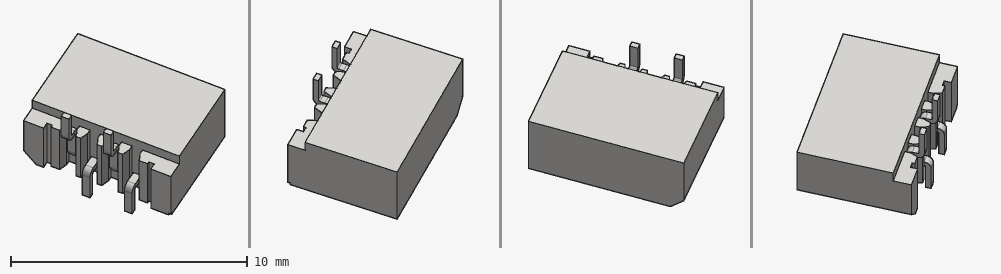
import cadquery as cq

HOUSING_WIDTH = 7.0
HOUSING_DEPTH = 4.25
HOUSING_HEIGHT = 3.0
CORNER_CHAMFER = 0.6
CORNER_NOTCH = 0.1

COMB_HEIGHT = 2.5
END_BLOCK_REACH = 0.8
RIB_REACH = 0.6
GROOVE_WIDTH = 0.25
GROOVE_OFFSET = 0.95
GROOVE_FLOOR_REACH = 0.48

PIN_PITCH = 1.0
PIN_COUNT = 4
SLOT_WIDTH = 0.5
SLOT_MOUTH_WIDTH = 0.78
SLOT_FLARE_START = 0.23

PIN_WIDTH = 0.37
PIN_THICKNESS = 0.25
PIN_TIP_REACH = 0.85
PIN_OVERHANG = 0.75
PIN_EXIT_BOTTOM = 0.6
PIN_EMBED = 0.5
UPPER_JOG_BOTTOM = 2.22
JOG_BEND_RADIUS = 0.06
ROOT_BEND_RADIUS = 0.1

HALF_WIDTH = HOUSING_WIDTH / 2
PIN_POSITIONS = [(i - (PIN_COUNT - 1) / 2) * PIN_PITCH for i in range(PIN_COUNT)]


def plan_prism(points, height):
    """Extrude an XY outline upward from the underside."""
    return cq.Workplane("XY").polyline(points).close().extrude(height)


def front_comb():
    """Full-width front ledge with stepped ends, before the slots are cut."""
    groove_outer = HALF_WIDTH - GROOVE_OFFSET
    groove_inner = groove_outer - GROOVE_WIDTH
    right_half = [
        (HALF_WIDTH, 0),
        (HALF_WIDTH, -END_BLOCK_REACH),
        (groove_outer, -END_BLOCK_REACH),
        (groove_outer, -GROOVE_FLOOR_REACH),
        (groove_inner, -GROOVE_FLOOR_REACH),
        (groove_inner, -RIB_REACH),
    ]
    left_half = [(-x, y) for x, y in reversed(right_half)]
    return plan_prism(right_half + left_half, COMB_HEIGHT)


def terminal_slot(x):
    """Vertical slot with parallel walls that flare out toward the front."""
    right_half = [
        (SLOT_WIDTH / 2, 0),
        (SLOT_WIDTH / 2, -SLOT_FLARE_START),
        (SLOT_MOUTH_WIDTH / 2, -RIB_REACH),
    ]
    left_half = [(-dx, y) for dx, y in reversed(right_half)]
    return plan_prism(right_half + left_half, COMB_HEIGHT).translate((x, 0, 0))


def housing():
    body = cq.Workplane("XY").box(
        HOUSING_WIDTH, HOUSING_DEPTH, HOUSING_HEIGHT, centered=(True, False, False)
    )
    body = body.union(front_comb())
    for x in PIN_POSITIONS:
        body = body.cut(terminal_slot(x))

    chamfer = (
        cq.Workplane("XZ", origin=(-HALF_WIDTH, HOUSING_DEPTH, 0))
        .polyline([(0, 0), (CORNER_CHAMFER, 0), (0, CORNER_CHAMFER)])
        .close()
        .extrude(HOUSING_DEPTH + END_BLOCK_REACH)
    )
    notch = cq.Workplane("XY").box(CORNER_NOTCH, CORNER_NOTCH, CORNER_NOTCH, centered=False)
    notch = notch.translate((HALF_WIDTH - CORNER_NOTCH, -END_BLOCK_REACH, 0))
    return body.cut(chamfer).cut(notch)


def strip_terminal(x, outline, bends):
    """Extrude a sharp YZ outline to the pin width, then round the listed corners.

    Each bend is (inner corner, outer corner, inside radius); the outside radius
    is larger by the strip thickness.
    """
    strip = cq.Workplane("YZ").polyline(outline).close().extrude(PIN_WIDTH / 2, both=True)
    for inner, outer, radius in bends:
        strip = round_corner(strip, inner, radius)
        strip = round_corner(strip, outer, radius + PIN_THICKNESS)
    return strip.translate((x, 0, 0))


def round_corner(strip, corner, radius):
    """Fillet the X-parallel edge that passes through a YZ corner."""
    edge = strip.edges("|X").edges(cq.selectors.NearestToPointSelector((0, *corner)))
    return edge.fillet(radius)


def downward_terminal(x):
    """Terminal that leaves the wall and bends straight down."""
    low = PIN_EXIT_BOTTOM
    high = low + PIN_THICKNESS
    front = -PIN_TIP_REACH
    back = front + PIN_THICKNESS
    inner = (back, low)
    outer = (front, high)
    outline = [
        (PIN_EMBED, low),
        inner,
        (back, -PIN_OVERHANG),
        (front, -PIN_OVERHANG),
        outer,
        (PIN_EMBED, high),
    ]
    return strip_terminal(x, outline, [(inner, outer, JOG_BEND_RADIUS)])


def upward_terminal(x):
    """Terminal that rises along the wall, jogs forward and rises again."""
    low = PIN_EXIT_BOTTOM
    high = low + PIN_THICKNESS
    jog_low = UPPER_JOG_BOTTOM
    jog_high = jog_low + PIN_THICKNESS
    tip = HOUSING_HEIGHT + PIN_OVERHANG
    front = -PIN_TIP_REACH
    back = front + PIN_THICKNESS
    riser_front = -PIN_THICKNESS
    root_inner, root_outer = (0, high), (riser_front, low)
    jog_inner, jog_outer = (riser_front, jog_low), (0, jog_high)
    tip_inner, tip_outer = (back, jog_high), (front, jog_low)
    outline = [
        (PIN_EMBED, low),
        root_outer,
        jog_inner,
        tip_outer,
        (front, tip),
        (back, tip),
        tip_inner,
        jog_outer,
        root_inner,
        (PIN_EMBED, high),
    ]
    bends = [
        (root_inner, root_outer, ROOT_BEND_RADIUS),
        (jog_inner, jog_outer, JOG_BEND_RADIUS),
        (tip_inner, tip_outer, JOG_BEND_RADIUS),
    ]
    return strip_terminal(x, outline, bends)


result = housing()
for index, pin_x in enumerate(PIN_POSITIONS):
    make_terminal = upward_terminal if index % 2 == 0 else downward_terminal
    result = result.union(make_terminal(pin_x))